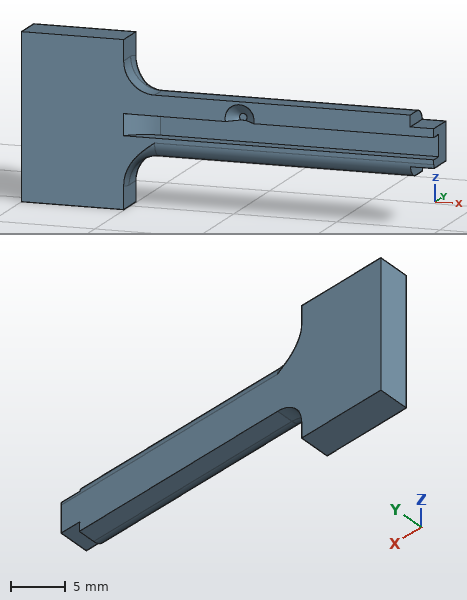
import cadquery as cq
import math

length = 40.0
thickness = 3.45
head_height = 16.0
head_length = 9.9

stem_height = 6.0
stem_half = stem_height / 2
shoulder_x = 37.7
tip_height = 3.75
round_radius = stem_half / 2
flare_radius = 3.0
flare_end = head_length + flare_radius

slot_height = 2.1
slot_depth = 1.35
slot_cutter_radius = 4.2

dimple_x = 21.15
dimple_z = 1.3
dimple_radius = 1.4
dimple_floor_radius = 0.35
dimple_depth = dimple_radius - dimple_floor_radius


def block(x_start, x_end, height):
    """Full-thickness block with its front face at Y = 0, centred on Z = 0."""
    return (
        cq.Workplane("XY")
        .box(x_end - x_start, thickness, height, centered=(False, False, True))
        .translate((x_start, 0, 0))
    )


def half_turn(shape):
    """Turn a shape by 180 degrees about the long axis of the part."""
    middle = thickness / 2
    return shape.rotate((0, middle, 0), (1, middle, 0), 180)


def flare_profile(inner_z, stem_z):
    """Web between inner_z and the stem's lower side, with a concave arc up to the head."""
    arc_offset = flare_radius * (1 - math.sqrt(0.5))
    return (
        cq.Workplane("XZ")
        .moveTo(head_length, inner_z)
        .lineTo(flare_end, inner_z)
        .lineTo(flare_end, stem_z)
        .threePointArc(
            (head_length + arc_offset, stem_z - arc_offset),
            (head_length, stem_z - flare_radius),
        )
        .close()
    )


def lower_flare():
    """Flare under the stem: straight at the back, turned about the rounded front edge."""
    straight = (
        flare_profile(0, -stem_half)
        .extrude(round_radius - thickness)
        .translate((0, round_radius, 0))
    )
    turned = (
        flare_profile(0, -round_radius)
        .revolve(90, (0, 0, 0), (-1, 0, 0))
        .translate((0, round_radius, round_radius - stem_half))
    )
    return straight.union(turned).intersect(block(0, length, head_height))


def make_stem():
    """Stem with two diagonally opposite long edges rounded and a stepped tip."""
    stem = block(head_length, length, stem_height)
    stem = stem.edges("|X").edges("(<Y and <Z) or (>Y and >Z)").fillet(round_radius)
    tip_envelope = block(shoulder_x, length, tip_height)
    return stem.intersect(block(0, shoulder_x, stem_height).union(tip_envelope))


def make_slot():
    """Slot open at the tip, its floor rising along a cutter arc to meet the head."""
    cutter_y = slot_depth - slot_cutter_radius
    run_out = math.sqrt(slot_cutter_radius**2 - cutter_y**2)
    floor_start = head_length + run_out
    half_angle = math.atan2(run_out, -cutter_y) / 2
    arc_middle = (
        floor_start - slot_cutter_radius * math.sin(half_angle),
        cutter_y + slot_cutter_radius * math.cos(half_angle),
    )
    return (
        cq.Workplane("XY")
        .moveTo(head_length, 0)
        .threePointArc(arc_middle, (floor_start, slot_depth))
        .lineTo(length, slot_depth)
        .lineTo(length, 0)
        .close()
        .extrude(slot_height / 2, both=True)
    )


def make_dimple():
    """Flat-bottomed cone sunk into the front face, narrowing toward +Y."""
    cone = cq.Solid.makeCone(
        dimple_radius,
        dimple_floor_radius,
        dimple_depth,
        pnt=cq.Vector(dimple_x, 0, dimple_z),
        dir=cq.Vector(0, 1, 0),
    )
    return cq.Workplane("XY").add(cone)


flare = lower_flare()
body = block(0, head_length, head_height).union(make_stem())
body = body.union(flare).union(half_turn(flare))
result = body.cut(make_slot()).cut(make_dimple())